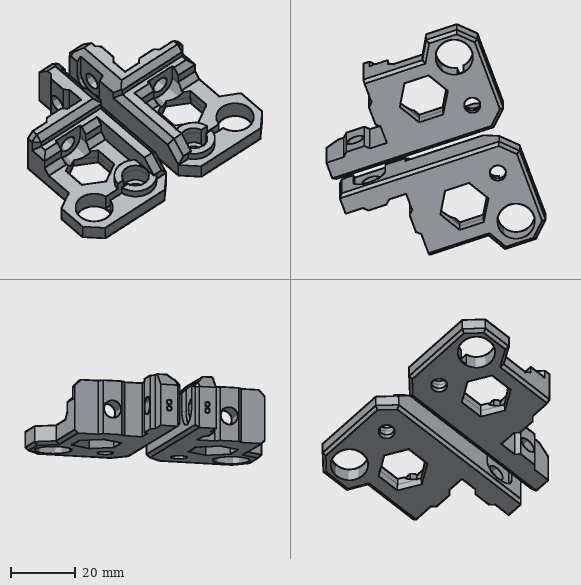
import cadquery as cq


length = 58.0
total_width = 74.0
height = 17.0
half_gap = 2.5
width = total_width / 2 - half_gap

arm_thickness = 6.5
wall_back = 20.0
wall_depth = 4.0
wall_front = wall_back + wall_depth
wall_end = 28.5
edge_bevel = 2.0
arm_end_bevel = 4.0
arm_mating_bevel = 3.4
arm_corner_bevel = 1.0
arm_corner_facet = 1.1

step_height = 13.1
step_front = wall_front + 2 * edge_bevel
foot_bevel = 2.0
rib_thickness = 5.2
rib_slope_start = 48.55

plate_thickness = 6.0
bottom_bevel = 1.0
corner_cut = 5.0
rib_end = length - corner_cut
lobe_start = 42.85
lobe_root = 39.5

tab_height = 1.3
tab_tip_width = 6.0
tab_root_width = tab_tip_width + 2 * tab_height
bolt_diameter = 5.5
bolt_z = 8.0
arm_bolt_x = 10.1
wall_bolt_y = 16.5
arm_recess_width = 10.6
arm_recess_depth = 1.4
wall_recess_width = 10.1
wall_recess_start = 25.15

hex_x = 35.75
hex_across_corners = 15.3
hex_flare_height = 3.0
hex_flare = 0.3
post_x = 49.3
post_y = 9.5
collar_diameter = 13.2
collar_top = 8.5
cup_diameter = 8.2
cup_floor = 2.0
cup_mouth_diameter = 8.4
cup_mouth_start = 6.6
post_hole_diameter = 5.0
rod_diameter = 11.6
rod_y = 26.5
slot_width = 2.1
slot_floor = 0.6

pin_hole_diameter = 1.5
pin_hole_y = 3.7
pin_hole_heights = (5.55, 7.55)
pin_hole_depth = 0.5

reach = 2 * length


def box(x0, x1, y0, y1, z0, z1):
    """Block given by its limits along each axis."""
    return cq.Workplane("XY").box(x1 - x0, y1 - y0, z1 - z0, centered=False).translate((x0, y0, z0))


def beyond(point, normal):
    """Large block filling the side of a plane that its normal points to."""
    plane = cq.Plane(origin=point, normal=normal)
    return cq.Workplane(plane).rect(reach, reach).extrude(reach)


def post(x, y, z0, z1, diameter):
    """Upright cylinder."""
    return cq.Workplane("XY", origin=(x, y, z0)).circle(diameter / 2).extrude(z1 - z0)


def tall_wall():
    """Arm and wall at full height, with bevelled top edges and upright corners."""
    arm = box(0, wall_front, 0, arm_thickness, 0, height)
    wall = box(wall_back, wall_front, 0, wall_end, 0, height)
    crest_x = wall_front - edge_bevel
    crest_z = height - edge_bevel
    solid = arm.union(wall)
    solid = solid.cut(beyond((0, 0, height - arm_end_bevel), (-1, 0, 1)))
    solid = solid.cut(beyond((0, 0, height - arm_mating_bevel), (0, -1, 1)))
    solid = solid.cut(beyond((wall_front, 0, crest_z), (1, 0, 1)))
    solid = solid.cut(beyond((0, wall_end, crest_z), (0, 1, 1)))
    solid = solid.cut(beyond((arm_corner_bevel, 0, 0), (-1, -1, 0)))
    solid = solid.cut(beyond((crest_x, 0, 0), (1, -1, 0)))
    solid = solid.cut(beyond((crest_x, wall_end, 0), (1, 1, 0)))
    solid = solid.cut(beyond((crest_x, wall_end, crest_z), (1, 1, 1)))
    facet_point = (0, arm_corner_facet, height - arm_end_bevel)
    return solid.cut(beyond(facet_point, (-1, -1, 1)))


def step_and_rib():
    """Lower L: step in front of the wall and rib along the mating face."""
    ledge_z = step_height - edge_bevel
    step = box(wall_back, step_front, 0, wall_end, 0, step_height)
    step = step.cut(beyond((step_front, 0, ledge_z), (1, 0, 1)))
    rib = box(wall_back, rib_end, 0, rib_thickness, 0, step_height)
    rib = rib.cut(beyond((rib_slope_start, 0, step_height), (1, 0, 1)))
    solid = step.union(rib)
    solid = solid.cut(beyond((0, 0, ledge_z), (0, -1, 1)))
    solid = solid.cut(beyond((0, wall_end, ledge_z), (0, 1, 1)))
    slope_drop = rib_end - rib_slope_start
    tip_drop = step_height - slope_drop - plate_thickness
    slope_bevel = beyond((rib_end, 0, plate_thickness), (1, -tip_drop / edge_bevel, 1))
    return solid.cut(slope_bevel)


def wall_foot():
    """45 degree bevel joining the step to the plate."""
    return (
        cq.Workplane("XZ")
        .moveTo(step_front, plate_thickness)
        .lineTo(step_front + foot_bevel, plate_thickness)
        .lineTo(step_front, plate_thickness + foot_bevel)
        .close()
        .extrude(-wall_end)
    )


def plate():
    """Base plate with a lobe for the rod hole."""
    outline = [
        (wall_back, 0),
        (rib_end, 0),
        (length, corner_cut),
        (length, width - corner_cut),
        (length - corner_cut, width),
        (lobe_start, width),
        (lobe_root, wall_end),
        (wall_back, wall_end),
    ]
    return cq.Workplane("XY").polyline(outline).close().extrude(plate_thickness)


def bevel_underside(solid):
    """Bevel the bottom edges, except around the arm end and the clamping faces."""
    margin = arm_corner_bevel / 4
    clamping_edges = cq.selectors.BoxSelector(
        (-margin, margin, -margin), (wall_back + margin, wall_end - margin, margin)
    )
    return solid.faces("<Z").edges(-clamping_edges).chamfer(bottom_bevel)


def tab():
    """Full-height trapezoidal tab, rooted on y = 0 and pointing to +Y."""
    outline = [
        (-tab_root_width / 2, 0),
        (tab_root_width / 2, 0),
        (tab_tip_width / 2, tab_height),
        (-tab_tip_width / 2, tab_height),
    ]
    return cq.Workplane("XY").polyline(outline).close().extrude(height)


def clamping_tabs():
    """One tab on the arm and one on the wall."""
    arm_tab = tab().translate((arm_bolt_x, arm_thickness, 0))
    wall_tab = tab().rotate((0, 0, 0), (0, 0, 1), 90).translate((wall_back, wall_bolt_y, 0))
    return arm_tab.union(wall_tab)


def recess(recess_width, depth):
    """Round-bottomed recess open at the top, running from y = 0 to y = depth."""
    round_end = cq.Workplane("XZ").circle(recess_width / 2).extrude(-depth)
    return round_end.union(box(-recess_width / 2, recess_width / 2, 0, depth, 0, height))


def bolt_cuts():
    """Bolt holes through arm and wall, each with a recess on its far face."""
    arm_hole = (
        cq.Workplane("XZ", origin=(arm_bolt_x, 0, bolt_z))
        .circle(bolt_diameter / 2)
        .extrude(-(arm_thickness + tab_height))
    )
    wall_hole = (
        cq.Workplane("YZ", origin=(wall_back - tab_height, wall_bolt_y, bolt_z))
        .circle(bolt_diameter / 2)
        .extrude(hex_x - wall_back)
    )
    arm_recess = recess(arm_recess_width, arm_recess_depth).translate((arm_bolt_x, 0, bolt_z))
    wall_recess = (
        recess(wall_recess_width, hex_x - wall_recess_start)
        .rotate((0, 0, 0), (0, 0, 1), -90)
        .translate((wall_recess_start, wall_bolt_y, bolt_z))
    )
    return arm_hole.union(wall_hole).union(arm_recess).union(wall_recess)


def hex_opening():
    """Hexagonal opening that flares slightly towards the underside."""
    straight = (
        cq.Workplane("XY", origin=(hex_x, wall_bolt_y, 0))
        .polygon(6, hex_across_corners)
        .extrude(plate_thickness)
    )
    flare = (
        cq.Workplane("XY", origin=(hex_x, wall_bolt_y, 0))
        .polygon(6, hex_across_corners + 2 * hex_flare)
        .workplane(offset=hex_flare_height)
        .polygon(6, hex_across_corners)
        .loft(ruled=True)
    )
    return straight.union(flare)


def cup_cuts():
    """Cup with a flared mouth and a hole in its floor."""
    cup = post(post_x, post_y, cup_floor, collar_top, cup_diameter)
    mouth = (
        cq.Workplane("XY", origin=(post_x, post_y, cup_mouth_start))
        .circle(cup_diameter / 2)
        .workplane(offset=collar_top - cup_mouth_start)
        .circle(cup_mouth_diameter / 2)
        .loft()
    )
    floor_hole = post(post_x, post_y, 0, collar_top, post_hole_diameter)
    return cup.union(mouth).union(floor_hole)


def rod_cuts():
    """Rod hole and the slot from it to the cup, ending at the cup's wall."""
    rod_hole = post(post_x, rod_y, 0, plate_thickness, rod_diameter)
    slot_side = slot_width / 2
    slot = box(post_x - slot_side, post_x + slot_side, post_y, rod_y, slot_floor, collar_top)
    slot = slot.cut(post(post_x, post_y, 0, collar_top, cup_diameter))
    return rod_hole.union(slot)


def pin_holes():
    """Pair of small blind holes, one above the other."""
    return (
        cq.Workplane("YZ")
        .pushPoints([(pin_hole_y, z) for z in pin_hole_heights])
        .circle(pin_hole_diameter / 2)
        .extrude(pin_hole_depth)
    )


def bracket():
    """Complete bracket, on the +Y side of its mating face."""
    solid = bevel_underside(tall_wall().union(step_and_rib()).union(plate()))
    solid = solid.union(wall_foot()).union(clamping_tabs())
    solid = solid.union(post(post_x, post_y, bottom_bevel, collar_top, collar_diameter))
    solid = solid.cut(bolt_cuts()).cut(hex_opening())
    return solid.cut(cup_cuts()).cut(rod_cuts()).cut(pin_holes())


left_bracket = bracket().translate((0, half_gap, 0))
right_bracket = left_bracket.mirror("XZ")

result = cq.Compound.makeCompound([left_bracket.val(), right_bracket.val()])